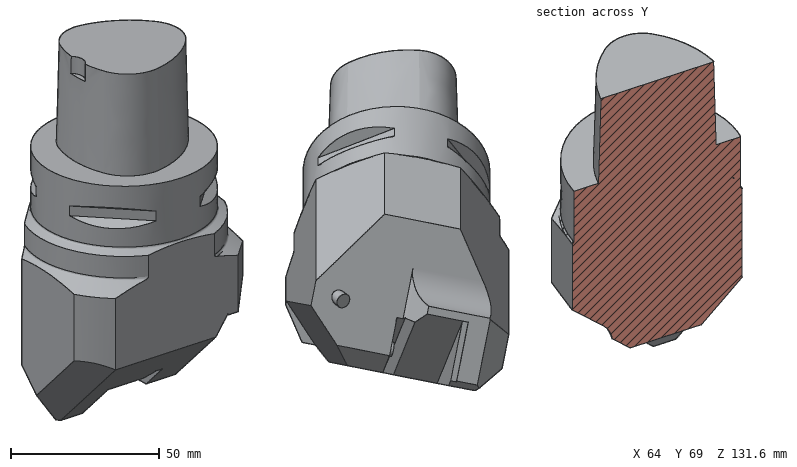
import cadquery as cq
import math

overall_length = 131.59
shank_length = 37.6
tip_z = shank_length - overall_length

lobe_radius = 23.55
flat_radius = 20.5
broad_arc_radius = 37.0
lobe_count = 3
taper_ratio = 20.0
shank_taper = math.degrees(math.atan(1 / (2 * taper_ratio)))

keyway_diameter = 10.5
keyway_floor_y = -17.65
keyway_depth = 6.35

flange_diameter = 63.0
groove_z = -12.0
groove_floor_distance = 27.85
groove_floor_height = 3.6
groove_flank_angle = 30.0
groove_count = 4

flange_bottom_cone_z = -23.35
upper_cone_angle = 20.0
collar_radius = 34.9
collar_cone_z = -33.2
lower_cone_angle = 25.0
root_radius = 0.9

body_half_width = 32.0
body_front_y = -37.0
body_corner_chamfer = 8.0
body_round_radius = 42.5

tip_roof_z = -95.4
back_roof_z = -85.2
back_bottom_z = -86.05
front_chamfer = 9.1
rear_chamfer = 17.4

leg_end_y = 0.1
leg_foot_run = 1.1
leg_foot_rise = 0.9
leg_slope_run = 6.4
chip_radius = 12.7
chip_start_x = -20.6

slot_front_y = -18.7
slot_rear_y = 2.2
slot_top_z = -79.7
slot_relief_z = -76.8
slot_slope_rear_y = -0.5
relief_width = 2.0
relief_depth = 0.3

pin_diameter = 5.0
pin_y = 22.85
pin_z = -74.9
pin_length = 2.5
stop_pin_x = 5.0
stop_pin_z = -78.7

diagonal = math.sqrt(2)
reach = 100.0


def prism_along_y(outline, y_start, y_end):
    """Extrude a wire drawn in (x, z) from y_start to y_end."""
    return outline.extrude(y_start - y_end).translate((0, y_start, 0))


def make_shank():
    """Tangent broad and lobe arcs, extruded with taper."""
    broad_center = broad_arc_radius - flat_radius
    lobe_gap = broad_arc_radius - lobe_radius
    lobe_center = (broad_center**2 - lobe_gap**2) / (2 * lobe_gap - broad_center)
    lobe_arc_radius = lobe_radius - lobe_center
    pitch = 360 / lobe_count

    def polar(radius, angle):
        turn = math.radians(angle)
        return (radius * math.cos(turn), radius * math.sin(turn))

    lobe_x, lobe_y = polar(lobe_center, pitch / 2)
    run = lobe_x + broad_center
    length = math.hypot(run, lobe_y)
    joint_x = lobe_x + lobe_arc_radius * run / length
    joint_y = lobe_y + lobe_arc_radius * lobe_y / length
    joint_radius = math.hypot(joint_x, joint_y)
    joint_angle = math.degrees(math.atan2(joint_y, joint_x))

    outline = cq.Workplane("XY").moveTo(*polar(joint_radius, -90 - joint_angle))
    for index in range(lobe_count):
        flat_angle = -90 + index * pitch
        lobe_angle = flat_angle + pitch / 2
        next_flat_angle = flat_angle + pitch
        outline = outline.threePointArc(
            polar(flat_radius, flat_angle), polar(joint_radius, flat_angle + joint_angle)
        )
        outline = outline.threePointArc(
            polar(lobe_radius, lobe_angle), polar(joint_radius, next_flat_angle - joint_angle)
        )
    return outline.close().extrude(shank_length, taper=shank_taper)


def make_keyway():
    center_y = keyway_floor_y - keyway_diameter / 2
    return (
        cq.Workplane("XY", origin=(0, center_y, shank_length - keyway_depth))
        .circle(keyway_diameter / 2)
        .extrude(keyway_depth)
    )


def make_turned_envelope():
    """Flange, collar and cones as one turned shape that trims the body."""
    flange_radius = flange_diameter / 2
    outer_radius = body_round_radius

    def root(radius, corner_z, angle):
        slope = math.radians(angle)
        tangent = root_radius * math.tan((math.pi / 2 - slope) / 2)
        start = (radius, corner_z + tangent)
        end = (radius + tangent * math.cos(slope), corner_z - tangent * math.sin(slope))
        return start, end

    upper_start, upper_end = root(flange_radius, flange_bottom_cone_z, upper_cone_angle)
    lower_start, lower_end = root(collar_radius, collar_cone_z, lower_cone_angle)
    upper_drop = (collar_radius - flange_radius) * math.tan(math.radians(upper_cone_angle))
    lower_drop = (outer_radius - collar_radius) * math.tan(math.radians(lower_cone_angle))
    return (
        cq.Workplane("XZ")
        .moveTo(0, 0)
        .lineTo(flange_radius, 0)
        .lineTo(*upper_start)
        .tangentArcPoint(upper_end, relative=False)
        .lineTo(collar_radius, flange_bottom_cone_z - upper_drop)
        .lineTo(*lower_start)
        .tangentArcPoint(lower_end, relative=False)
        .lineTo(outer_radius, collar_cone_z - lower_drop)
        .lineTo(outer_radius, tip_z)
        .lineTo(0, tip_z)
        .close()
        .revolve(360, (0, 0, 0), (0, 1, 0))
    )


def make_gripper_grooves():
    floor_half = groove_floor_height / 2
    depth = body_half_width - groove_floor_distance
    mouth_half = floor_half + depth * math.tan(math.radians(groove_flank_angle))
    profile = [
        (groove_floor_distance, groove_z - floor_half),
        (body_half_width, groove_z - mouth_half),
        (body_half_width, groove_z + mouth_half),
        (groove_floor_distance, groove_z + floor_half),
    ]
    groove = cq.Workplane("XZ").polyline(profile).close().extrude(flange_diameter / 2, both=True)
    pitch = 360 / groove_count
    grooves = cq.Workplane("XY")
    for index in range(groove_count):
        grooves = grooves.add(groove.rotate((0, 0, 0), (0, 0, 1), (index + 0.5) * pitch))
    return grooves.combine()


def make_body_plan():
    """Plan outline of the body over its whole height."""
    w = body_half_width
    diagonal_sum = w * diagonal
    outline = [
        (-diagonal_sum - body_front_y, body_front_y),
        (w, body_front_y),
        (w, w - body_corner_chamfer),
        (w - body_corner_chamfer, w),
        (w - diagonal_sum, w),
        (-w, diagonal_sum - w),
        (-w, w - diagonal_sum),
    ]
    return cq.Workplane("XY").polyline(outline).close().extrude(tip_z)


def make_roofed_block():
    """Body seen along Y: the whole-width back block and the longer front leg."""
    w = body_half_width
    back = cq.Workplane("XZ").polyline([
        (-w, 0),
        (-w, back_roof_z + w),
        (back_roof_z - back_bottom_z, back_bottom_z),
        (back_bottom_z - tip_roof_z, back_bottom_z),
        (w, tip_roof_z + w),
        (w, 0),
    ]).close()

    start = (chip_start_x, back_roof_z - chip_start_x)
    center_x = start[0] - chip_radius / diagonal
    center_z = start[1] - chip_radius / diagonal
    gap = (center_x + center_z - tip_roof_z) / diagonal
    half_chord = math.sqrt(chip_radius**2 - gap**2)
    end = (
        center_x + (-gap + half_chord) / diagonal,
        center_z + (-gap - half_chord) / diagonal,
    )
    middle = (center_x + chip_radius, center_z)
    tip_half_width = tip_z - tip_roof_z
    leg = (
        cq.Workplane("XZ")
        .moveTo(*start)
        .threePointArc(middle, end)
        .lineTo(-tip_half_width, tip_z)
        .lineTo(tip_half_width, tip_z)
        .lineTo(w, tip_roof_z + w)
        .lineTo(w, start[1])
        .close()
    )
    back_block = prism_along_y(back, body_front_y, w)
    leg_block = prism_along_y(leg, body_front_y, leg_end_y).cut(make_leg_end_slope())
    return back_block.union(leg_block)


def roof_prism(roof_z, side, profile):
    """Long prism lying along a roof face, from a profile of (y, height outside that face).

    side is -1 for the roof facing -X and +1 for the roof facing +X.
    """
    plane = cq.Plane(origin=(0, 0, roof_z), xDir=(0, 1, 0), normal=(-1, 0, -side))
    return cq.Workplane(plane).polyline(profile).close().extrude(reach / 2, both=True)


def make_leg_end_slope():
    """Two sloping facets at the rear end of the leg, rising from the back roof."""
    step = (back_roof_z - tip_roof_z) / diagonal
    return roof_prism(back_roof_z, -1, [
        (leg_end_y, 0),
        (leg_end_y - leg_foot_run, leg_foot_rise),
        (leg_end_y - leg_slope_run, step),
        (leg_end_y, step),
    ])


def roof_chamfer(side, edge_y, leg, inward):
    """Cutter for a 45 degree chamfer between the tip roof and the side at edge_y.

    inward is the sign of the Y direction from that side into the body.
    """
    return roof_prism(tip_roof_z, side, [
        (edge_y - inward * leg, -2 * leg),
        (edge_y + inward * 2 * leg, leg),
        (edge_y - inward * leg, leg),
    ])


def make_insert_slot():
    """Slot open along X, with a 45 degree slope up to the gap behind the leg."""
    slope_rise = slot_relief_z - slot_top_z
    profile = cq.Workplane("YZ").polyline([
        (slot_front_y, -reach),
        (slot_front_y, slot_top_z),
        (slot_slope_rear_y - slope_rise, slot_top_z),
        (slot_slope_rear_y, slot_relief_z),
        (slot_rear_y, slot_relief_z),
        (slot_rear_y, -reach),
    ]).close()
    return profile.extrude(body_half_width, both=True)


def make_tip_relief():
    """Shallow step in the -X tip roof beside the slot."""
    front_y = slot_front_y - relief_width
    upper_end = (slot_top_z - tip_roof_z) * diagonal
    plane = cq.Plane(origin=(0, 0, tip_roof_z), xDir=(0, 1, 0), normal=(-1, 0, 1))
    return (
        cq.Workplane(plane)
        .polyline([
            (front_y, -relief_depth),
            (slot_front_y, -relief_depth),
            (slot_front_y, relief_depth),
            (front_y, relief_depth),
        ])
        .close()
        .extrude(upper_end)
    )


def make_roof_pin():
    """Pin standing out of the -X roof of the back block, leaning toward the insert slot."""
    root_x = back_roof_z - pin_z
    plane = cq.Plane(origin=(root_x, pin_y, pin_z), xDir=(1, -1, 0), normal=(-1, -1, -2))
    pin = cq.Workplane(plane).workplane(offset=-pin_diameter)
    return pin.circle(pin_diameter / 2).extrude(pin_diameter + pin_length)


def make_stop_pin():
    """Pin along Y across the gap between the back block and the leg."""
    root_y = slot_rear_y + pin_diameter
    outline = cq.Workplane("XZ").center(stop_pin_x, stop_pin_z).circle(pin_diameter / 2)
    return prism_along_y(outline, leg_end_y, root_y)


body = make_body_plan().intersect(make_roofed_block())
body = body.intersect(make_turned_envelope())
for roof_side in (-1, 1):
    body = body.cut(roof_chamfer(roof_side, body_front_y, front_chamfer, inward=1))
body = body.cut(roof_chamfer(1, body_half_width, rear_chamfer, inward=-1))
body = body.cut(make_gripper_grooves())
body = body.cut(make_insert_slot()).cut(make_tip_relief())

shank = make_shank().cut(make_keyway())
result = body.union(shank).union(make_roof_pin()).union(make_stop_pin())